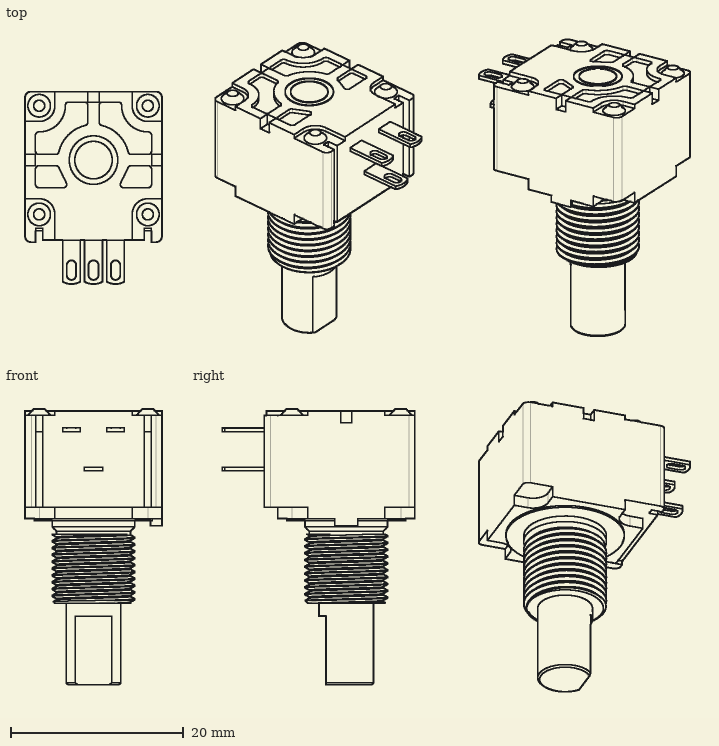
import cadquery as cq
import math


OVERALL_HEIGHT = 31.95
HOUSING_WIDTH = 15.88
HALF_WIDTH = HOUSING_WIDTH / 2
HOUSING_TOP = 12.5
FRONT_FACE = 9.25
EAR_FRONT = 9.52
EAR_CORNER_RADIUS = 0.7
SKIRT_HEIGHT = 1.3

RIVET_POSITION = 6.3
RECESS_INNER = 4.47
RECESS_RADIUS = RIVET_POSITION - RECESS_INNER
RECESS_DEPTH = 0.5
RECESS_FLOOR = HOUSING_TOP - RECESS_DEPTH
RIVET_BASE_RADIUS = 1.3
RIVET_TIP_RADIUS = 0.65
RIVET_HEIGHT = 0.75
SLOT_WIDTH = 0.83
SLOT_END = 8.2
SLOT_UPPER_END = 7.92
SLOT_STEP_HEIGHT = 10.05

NOTCH_WIDTH = 1.3
NOTCH_LENGTH = 1.2
NOTCH_DEPTH = 1.4
POCKET_DEPTH = 0.5
POCKET_OUTER = HALF_WIDTH - NOTCH_LENGTH
POCKET_INNER = NOTCH_WIDTH / 2
POCKET_HUB_RADIUS = 4.12
POCKET_RIVET_RADIUS = 3.05
POCKET_FILLET = 0.38
FRONT_POCKET_END = 3.2
FRONT_POCKET_REAR_X = 4.12
FRONT_POCKET_FRONT_X = 2.88
RING_OUTER_RADIUS = 2.8
RING_INNER_RADIUS = 2.17
RING_DEPTH = 0.1

TERMINAL_PITCH = 2.55
OUTER_TERMINAL_WIDTH = 2.05
MIDDLE_TERMINAL_WIDTH = 2.15
TERMINAL_THICKNESS = 0.45
TERMINAL_EMBED = 0.32
TERMINAL_TIP = 14.38
TERMINAL_TIP_RISE = 0.3
UPPER_TERMINAL_Z = 10.05
LOWER_TERMINAL_Z = 5.53
EYE_LENGTH = 2.25
EYE_NEAR_END = 11.63
OUTER_EYE_WIDTH = 1.05
MIDDLE_EYE_WIDTH = 1.15

PLATE_RADIUS = 6.87
PLATE_THICKNESS = 0.22
LUG_RADIUS = 1.35
LUG_HEIGHT = 0.83
COLLAR_RADIUS = 4.8
COLLAR_BOTTOM = -0.95
BUSHING_BOTTOM = -9.8
THREAD_CREST_RADIUS = 4.8
THREAD_ROOT_RADIUS = 4.3
TEN_TURN_RISE = 7.92
THREAD_PITCH = TEN_TURN_RISE / 10
THREAD_TURNS = 11.5
THREAD_TOP = -1.8
THREAD_START = -10.13
THREAD_CREST_WIDTH = 0.1
THREAD_ROOT_WIDTH = 0.65
BUSHING_CHAMFER = 0.35
ENVELOPE_MARGIN = 0.05
ROOT_OVERLAP = 0.1

SHAFT_DIAMETER = 6.35
SHAFT_RADIUS = SHAFT_DIAMETER / 2
SHAFT_END = RECESS_FLOOR + RIVET_HEIGHT - OVERALL_HEIGHT
FLAT_TOP = -11.28
FLAT_DISTANCE = 2.35
SHAFT_CHAMFER = 0.22

CORNERS = [(sx, sy) for sx in (-1, 1) for sy in (-1, 1)]


def box(x0, x1, y0, y1, z0, z1):
    """Box between opposite corners."""
    return cq.Workplane("XY").box(x1 - x0, y1 - y0, z1 - z0, centered=False).translate((x0, y0, z0))


def cylinder(radius, z0, z1):
    """Cylinder on the shaft axis."""
    return cq.Workplane("XY").workplane(offset=z0).circle(radius).extrude(z1 - z0)


def mirrored_in_x(solid):
    """The solid together with its mirror image across the YZ plane."""
    return solid.union(solid.mirror("YZ"))


def corner_recess(sx, sy, z0, z1):
    """Corner cutter that runs past the housing sides and is rounded about the rivet axis."""
    cutter = box(RECESS_INNER, EAR_FRONT, RECESS_INNER, EAR_FRONT, z0, z1)
    cutter = cutter.edges("|Z and <X and <Y").fillet(RECESS_RADIUS)
    if sx < 0:
        cutter = cutter.mirror("YZ")
    if sy < 0:
        cutter = cutter.mirror("XZ")
    return cutter


def make_housing():
    upper = box(-HALF_WIDTH, HALF_WIDTH, -EAR_FRONT, HALF_WIDTH, SKIRT_HEIGHT, HOUSING_TOP)
    upper = upper.edges("|Z").fillet(EAR_CORNER_RADIUS)
    slot_outer = RIVET_POSITION + SLOT_WIDTH / 2
    slot_inner = RIVET_POSITION - SLOT_WIDTH / 2
    upper = upper.cut(box(-slot_inner, slot_inner, -EAR_FRONT, -FRONT_FACE, SKIRT_HEIGHT, HOUSING_TOP))
    slot = box(slot_inner, slot_outer, -EAR_FRONT, -SLOT_END, SKIRT_HEIGHT, HOUSING_TOP)
    slot_step = box(slot_inner, slot_outer, -SLOT_END, -SLOT_UPPER_END, SLOT_STEP_HEIGHT, HOUSING_TOP)
    upper = upper.cut(mirrored_in_x(slot.union(slot_step)))

    housing = upper.union(box(-HALF_WIDTH, HALF_WIDTH, -HALF_WIDTH, HALF_WIDTH, 0, SKIRT_HEIGHT))
    for sx, sy in CORNERS:
        housing = housing.cut(corner_recess(sx, sy, 0, SKIRT_HEIGHT))
        housing = housing.cut(corner_recess(sx, sy, RECESS_FLOOR, HOUSING_TOP))
    return housing


def make_rivets():
    taper = math.degrees(math.atan((RIVET_BASE_RADIUS - RIVET_TIP_RADIUS) / RIVET_HEIGHT))
    centres = [(sx * RIVET_POSITION, sy * RIVET_POSITION) for sx, sy in CORNERS]
    plane = cq.Workplane("XY").workplane(offset=RECESS_FLOOR)
    return plane.pushPoints(centres).circle(RIVET_BASE_RADIUS).extrude(RIVET_HEIGHT, taper=taper)


def make_edge_notches():
    """Notches in the middle of the two sides and the back of the top face."""
    half = NOTCH_WIDTH / 2
    floor = HOUSING_TOP - NOTCH_DEPTH
    side = box(POCKET_OUTER, HALF_WIDTH, -half, half, floor, HOUSING_TOP)
    back = box(-half, half, POCKET_OUTER, HALF_WIDTH, floor, HOUSING_TOP)
    return mirrored_in_x(side).union(back)


def make_top_pockets():
    floor = HOUSING_TOP - POCKET_DEPTH
    rear = box(POCKET_INNER, POCKET_OUTER, POCKET_INNER, POCKET_OUTER, floor, HOUSING_TOP)
    rear = rear.cut(cylinder(POCKET_HUB_RADIUS, floor, HOUSING_TOP))
    wall_inner = RIVET_POSITION - POCKET_RIVET_RADIUS
    rivet_wall = box(wall_inner, HALF_WIDTH, wall_inner, HALF_WIDTH, floor, HOUSING_TOP)
    rivet_wall = rivet_wall.edges("|Z and <X and <Y").fillet(POCKET_RIVET_RADIUS)
    rear = rear.cut(rivet_wall).edges("|Z").fillet(POCKET_FILLET)

    front = (
        cq.Workplane("XY").workplane(offset=floor)
        .polyline([
            (POCKET_OUTER, -POCKET_INNER),
            (FRONT_POCKET_REAR_X, -POCKET_INNER),
            (FRONT_POCKET_FRONT_X, -FRONT_POCKET_END),
            (POCKET_OUTER, -FRONT_POCKET_END),
        ])
        .close().extrude(POCKET_DEPTH).edges("|Z").fillet(POCKET_FILLET)
    )
    return mirrored_in_x(rear.union(front))


def make_ring_groove():
    floor = HOUSING_TOP - RING_DEPTH
    island = cylinder(RING_INNER_RADIUS, floor, HOUSING_TOP)
    return cylinder(RING_OUTER_RADIUS, floor, HOUSING_TOP).cut(island)


def make_terminal(x, z, width, eye_width):
    """Flat solder tag with a bowed tip and a slotted eye."""
    half = width / 2
    root = -FRONT_FACE + TERMINAL_EMBED
    shoulder = -TERMINAL_TIP + TERMINAL_TIP_RISE
    tag = (
        cq.Workplane("XY")
        .moveTo(-half, root).lineTo(-half, shoulder)
        .threePointArc((0, -TERMINAL_TIP), (half, shoulder))
        .lineTo(half, root).close().extrude(TERMINAL_THICKNESS)
    )
    eye_centre = -EYE_NEAR_END - EYE_LENGTH / 2
    eye = cq.Workplane("XY").center(0, eye_centre).slot2D(EYE_LENGTH, eye_width, 90)
    eye = eye.extrude(TERMINAL_THICKNESS)
    return tag.cut(eye).translate((x, 0, z))


def make_plate_and_lug():
    """Round plate under the housing, with a half-round lug ending flush with the +X side."""
    plate = cylinder(PLATE_RADIUS, -PLATE_THICKNESS, 0)
    lug = cq.Workplane("XY").center(HALF_WIDTH, 0).circle(LUG_RADIUS).extrude(-LUG_HEIGHT)
    lug = lug.intersect(box(0, HALF_WIDTH, -LUG_RADIUS, LUG_RADIUS, -LUG_HEIGHT, 0))
    return plate.union(lug)


def make_bushing():
    """Collar and core with a right-hand helical thread, chamfered at the lower end."""
    cone_height = COLLAR_RADIUS - THREAD_ROOT_RADIUS
    collar = (
        cq.Workplane("XZ")
        .polyline([
            (0, 0),
            (COLLAR_RADIUS, 0),
            (COLLAR_RADIUS, COLLAR_BOTTOM),
            (THREAD_ROOT_RADIUS, COLLAR_BOTTOM - cone_height),
            (0, COLLAR_BOTTOM - cone_height),
        ])
        .close().revolve(360, (0, 0, 0), (0, 1, 0))
    )
    core = cylinder(THREAD_ROOT_RADIUS, BUSHING_BOTTOM, 0)

    sunk_radius = THREAD_ROOT_RADIUS - ROOT_OVERLAP
    flank_spread = (THREAD_ROOT_WIDTH - THREAD_CREST_WIDTH) / (THREAD_CREST_RADIUS - THREAD_ROOT_RADIUS)
    sunk_width = THREAD_ROOT_WIDTH + flank_spread * ROOT_OVERLAP
    helix = cq.Wire.makeHelix(THREAD_PITCH, THREAD_PITCH * THREAD_TURNS, THREAD_ROOT_RADIUS)
    ridge = (
        cq.Workplane("XZ")
        .polyline([
            (sunk_radius, -sunk_width / 2),
            (THREAD_CREST_RADIUS, -THREAD_CREST_WIDTH / 2),
            (THREAD_CREST_RADIUS, THREAD_CREST_WIDTH / 2),
            (sunk_radius, sunk_width / 2),
        ])
        .close().sweep(cq.Workplane(helix), isFrenet=True)
        .translate((0, 0, THREAD_START))
    )
    envelope = cylinder(THREAD_CREST_RADIUS + ENVELOPE_MARGIN, BUSHING_BOTTOM, THREAD_TOP)
    envelope = envelope.faces("<Z").chamfer(BUSHING_CHAMFER + ENVELOPE_MARGIN)
    return core.union(ridge.intersect(envelope)).union(collar)


def make_shaft():
    shaft = cylinder(SHAFT_RADIUS, SHAFT_END, 0).faces("<Z").chamfer(SHAFT_CHAMFER)
    flat = box(-SHAFT_RADIUS, SHAFT_RADIUS, -SHAFT_RADIUS, -FLAT_DISTANCE, SHAFT_END, FLAT_TOP)
    return shaft.cut(flat)


result = make_housing().cut(make_edge_notches()).cut(make_top_pockets()).cut(make_ring_groove())
result = result.union(make_rivets())
for x in (-TERMINAL_PITCH, TERMINAL_PITCH):
    result = result.union(make_terminal(x, UPPER_TERMINAL_Z, OUTER_TERMINAL_WIDTH, OUTER_EYE_WIDTH))
result = result.union(make_terminal(0, LOWER_TERMINAL_Z, MIDDLE_TERMINAL_WIDTH, MIDDLE_EYE_WIDTH))
result = result.union(make_plate_and_lug()).union(make_shaft()).union(make_bushing())